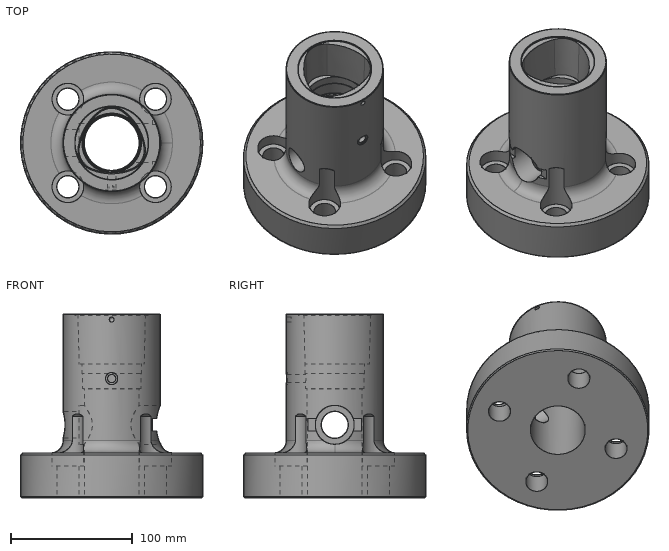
import cadquery as cq
import math

TOTAL_HEIGHT = 151.0
FLANGE_DIAMETER = 150.0
FLANGE_HEIGHT = 37.0
TUBE_DIAMETER = 80.0
FLANGE_TOP_CHAMFER = 2.0
FLANGE_BOTTOM_CHAMFER = 1.0
TUBE_TOP_CHAMFER = 0.5
ROOT_FILLET = 10.0

RECESS_DIAMETER = 60.0
RECESS_DEPTH = 1.0
RECESS_CHAMFER = 0.4
LOBE_COUNT = 3
LOBE_REACH = 29.4
FLAT_REACH = 25.4
FLAT_ARC_RADIUS = 45.0
POLYGON_DEPTH = 40.0
POLYGON_TAPER = math.degrees(math.atan(1 / 40))
RELIEF_DIAMETER = 49.0
RELIEF_DEPTH = 8.0
GUIDE_DIAMETER = 48.03
SHOULDER_Z = 90.0
SHOULDER_CHAMFER = 0.7
BORE_DIAMETER = 45.03
PIN_HOLE_DIAMETER = 5.0
PIN_HOLE_REACH = 26.0

BOLT_SPACING = 72.0
BOLT_HOLE_DIAMETER = 18.0
BOLT_HEAD_DIAMETER = 26.0
BOLT_SEAT_Z = 26.0
BOLT_RELIEF_TOP_Z = FLANGE_HEIGHT + 30.0
BOLT_RELIEF_CHAMFER = 2.0

CROSS_HOLE_Z = 60.0
SMALL_CROSS_DIAMETER = 22.01
LARGE_CROSS_DIAMETER = 32.01
LARGE_CROSS_FLOOR_X = -27.0
KEYWAY_HEIGHT = 10.0
KEYWAY_FLOOR_X = 33.5

THREAD_Z = 98.0
THREAD_DIAMETER = 6.8
COUNTERBORE_DIAMETER = 10.0
COUNTERBORE_DEPTH = 1.2
MARK_Z = 146.5
MARK_DIAMETER = 4.0
MARK_DEPTH = 4.0
DRILL_POINT_ANGLE = 118.0

TUBE_RADIUS = TUBE_DIAMETER / 2
CUT_MARGIN = 5.0


def revolve_profile(profile):
    """Close an open half profile and turn it about the second axis of its sketch plane."""
    return profile.close().revolve(360, (0, 0, 0), (0, 1, 0))


def make_body():
    """Flange and tube turned in one piece, with a concave root fillet."""
    flange_radius = FLANGE_DIAMETER / 2
    fillet_mid = ROOT_FILLET * (1 - math.sqrt(0.5))
    profile = (
        cq.Workplane("XZ")
        .lineTo(flange_radius - FLANGE_BOTTOM_CHAMFER, 0)
        .lineTo(flange_radius, FLANGE_BOTTOM_CHAMFER)
        .lineTo(flange_radius, FLANGE_HEIGHT - FLANGE_TOP_CHAMFER)
        .lineTo(flange_radius - FLANGE_TOP_CHAMFER, FLANGE_HEIGHT)
        .lineTo(TUBE_RADIUS + ROOT_FILLET, FLANGE_HEIGHT)
        .threePointArc(
            (TUBE_RADIUS + fillet_mid, FLANGE_HEIGHT + fillet_mid),
            (TUBE_RADIUS, FLANGE_HEIGHT + ROOT_FILLET),
        )
        .lineTo(TUBE_RADIUS, TOTAL_HEIGHT - TUBE_TOP_CHAMFER)
        .lineTo(TUBE_RADIUS - TUBE_TOP_CHAMFER, TOTAL_HEIGHT)
        .lineTo(0, TOTAL_HEIGHT)
    )
    return revolve_profile(profile)


def polar(radius, angle):
    angle_rad = math.radians(angle)
    return (radius * math.cos(angle_rad), radius * math.sin(angle_rad))


def polygon_cutter(z_top):
    """Tapered three-lobed socket; lobe arcs run tangent into flatter arcs between them."""
    flat_center = FLAT_ARC_RADIUS - FLAT_REACH
    center_gap = FLAT_ARC_RADIUS - LOBE_REACH
    half_pitch = 180 / LOBE_COUNT
    half_pitch_cos = math.cos(math.radians(half_pitch))
    half_pitch_sin = math.sin(math.radians(half_pitch))
    lobe_center = (flat_center**2 - center_gap**2) / (2 * (center_gap - flat_center * half_pitch_cos))
    lobe_radius = LOBE_REACH - lobe_center
    contact_normal = math.atan2(flat_center * half_pitch_sin, lobe_center + flat_center * half_pitch_cos)
    contact_x = lobe_center + lobe_radius * math.cos(contact_normal)
    contact_y = lobe_radius * math.sin(contact_normal)
    contact_radius = math.hypot(contact_x, contact_y)
    contact_angle = math.degrees(math.atan2(contact_y, contact_x))

    first_lobe = -90.0
    outline = cq.Workplane("XY").workplane(offset=z_top).transformed(rotate=(180, 0, 0))
    outline = outline.moveTo(*polar(contact_radius, first_lobe - contact_angle))
    for index in range(LOBE_COUNT):
        lobe = first_lobe + index * 2 * half_pitch
        next_lobe_start = lobe + 2 * half_pitch - contact_angle
        outline = outline.threePointArc(polar(LOBE_REACH, lobe), polar(contact_radius, lobe + contact_angle))
        flat_end = polar(contact_radius, next_lobe_start)
        outline = outline.threePointArc(polar(FLAT_REACH, lobe + half_pitch), flat_end)
    return outline.close().extrude(POLYGON_DEPTH, taper=POLYGON_TAPER)


def cut_socket(body):
    """Polygon socket, relief, guide bore and through bore, with a pin hole in the shoulder."""
    recess_floor = TOTAL_HEIGHT - RECESS_DEPTH
    relief_bottom = recess_floor - POLYGON_DEPTH - RELIEF_DEPTH
    bore_radius = BORE_DIAMETER / 2
    guide_radius = GUIDE_DIAMETER / 2
    relief_radius = RELIEF_DIAMETER / 2
    stepped_bore = (
        cq.Workplane("XZ")
        .lineTo(bore_radius, 0)
        .lineTo(bore_radius, SHOULDER_Z - SHOULDER_CHAMFER)
        .lineTo(bore_radius + SHOULDER_CHAMFER, SHOULDER_Z)
        .lineTo(guide_radius, SHOULDER_Z)
        .lineTo(guide_radius, relief_bottom)
        .lineTo(relief_radius, relief_bottom)
        .lineTo(relief_radius, recess_floor - POLYGON_DEPTH)
        .lineTo(0, recess_floor - POLYGON_DEPTH)
    )
    recess_radius = RECESS_DIAMETER / 2
    recess = (
        cq.Workplane("XZ")
        .moveTo(0, recess_floor)
        .lineTo(recess_radius, recess_floor)
        .lineTo(recess_radius, TOTAL_HEIGHT - RECESS_CHAMFER)
        .lineTo(recess_radius + RECESS_CHAMFER, TOTAL_HEIGHT)
        .lineTo(0, TOTAL_HEIGHT)
    )
    pin_hole = cq.Workplane("XZ").center(0, SHOULDER_Z).circle(PIN_HOLE_DIAMETER / 2).extrude(PIN_HOLE_REACH)
    body = body.cut(revolve_profile(recess))
    body = body.cut(polygon_cutter(recess_floor))
    body = body.cut(revolve_profile(stepped_bore))
    return body.cut(pin_hole)


def bolt_cutter():
    """Bolt hole with a head seat whose relief runs up into the tube wall."""
    hole_radius = BOLT_HOLE_DIAMETER / 2
    head_radius = BOLT_HEAD_DIAMETER / 2
    profile = (
        cq.Workplane("XZ")
        .lineTo(hole_radius, 0)
        .lineTo(hole_radius, BOLT_SEAT_Z)
        .lineTo(head_radius, BOLT_SEAT_Z)
        .lineTo(head_radius, BOLT_RELIEF_TOP_Z)
        .lineTo(head_radius - BOLT_RELIEF_CHAMFER, BOLT_RELIEF_TOP_Z + BOLT_RELIEF_CHAMFER)
        .lineTo(0, BOLT_RELIEF_TOP_Z + BOLT_RELIEF_CHAMFER)
    )
    return revolve_profile(profile)


def cut_bolt_holes(body):
    cutter = bolt_cutter()
    for x_side in (-1, 1):
        for y_side in (-1, 1):
            body = body.cut(cutter.translate((x_side * BOLT_SPACING / 2, y_side * BOLT_SPACING / 2, 0)))
    return body


def x_cylinder(diameter, x_start, x_end):
    plane = cq.Workplane("YZ").workplane(offset=x_start).center(0, CROSS_HOLE_Z)
    return plane.circle(diameter / 2).extrude(x_end - x_start)


def cut_cross_holes(body):
    """Stepped hole across the tube, large from +X and small at -X, with a keyway on +X."""
    outside = TUBE_RADIUS + CUT_MARGIN
    body = body.cut(x_cylinder(SMALL_CROSS_DIAMETER, -outside, 0))
    body = body.cut(x_cylinder(LARGE_CROSS_DIAMETER, LARGE_CROSS_FLOOR_X, outside))
    keyway_depth = outside - KEYWAY_FLOOR_X
    keyway = cq.Workplane("XY").box(keyway_depth, TUBE_DIAMETER, KEYWAY_HEIGHT, centered=(False, True, True))
    return body.cut(keyway.translate((KEYWAY_FLOOR_X, 0, CROSS_HOLE_Z)))


def front_cutter(profile, z):
    """Turn a (radius, depth) profile about the Y axis into a hole entering the tube from -Y."""
    return revolve_profile(profile).translate((0, -TUBE_RADIUS, z))


def cut_front_holes(body):
    thread_radius = THREAD_DIAMETER / 2
    counterbore_radius = COUNTERBORE_DIAMETER / 2
    threaded_hole = (
        cq.Workplane("XY")
        .lineTo(counterbore_radius, 0)
        .lineTo(counterbore_radius, COUNTERBORE_DEPTH)
        .lineTo(thread_radius, COUNTERBORE_DEPTH)
        .lineTo(thread_radius, TUBE_RADIUS)
        .lineTo(0, TUBE_RADIUS)
    )
    mark_radius = MARK_DIAMETER / 2
    point_depth = mark_radius / math.tan(math.radians(DRILL_POINT_ANGLE / 2))
    mark_hole = (
        cq.Workplane("XY")
        .lineTo(mark_radius, 0)
        .lineTo(mark_radius, MARK_DEPTH)
        .lineTo(0, MARK_DEPTH + point_depth)
    )
    body = body.cut(front_cutter(threaded_hole, THREAD_Z))
    return body.cut(front_cutter(mark_hole, MARK_Z))


result = make_body()
result = cut_socket(result)
result = cut_bolt_holes(result)
result = cut_cross_holes(result)
result = cut_front_holes(result)